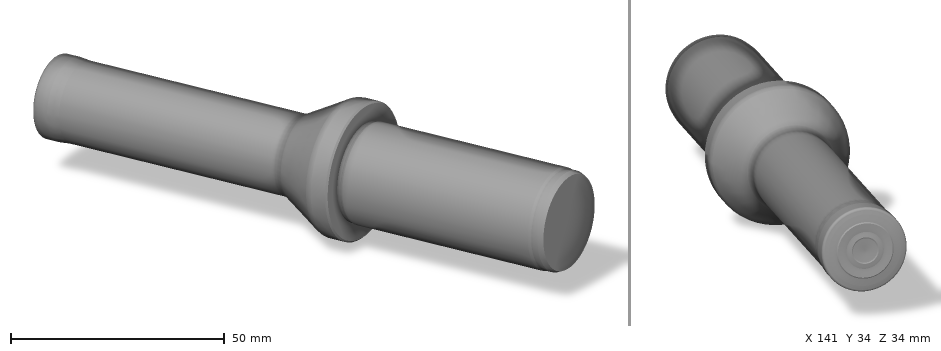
import cadquery as cq
import math

total_length = 141.0

head_length = 7.8
head_land_end = 4.7
head_diameter = 20.6
corner_radius = 0.7

center_depth = 0.4
inner_step_depth = 0.1
valley_depth = 0.21
outer_step_depth = 0.21
face_rim_depth = 0.4
inner_step_radius = 3.0
inner_ridge_radius = 3.2
valley_radius = 4.5
outer_ridge_radius = 6.6
outer_step_radius = 6.9
face_rim_radius = 8.7
face_corner_depth = 0.5

neck_diameter = 20.0
neck_end = 66.3
flare_start = 68.8
flare_start_diameter = 21.7
flare_end = 79.1
flare_end_diameter = 33.1
flange_start = 80.7
flange_end = 85.0
flange_diameter = 34.0
flange_chamfer = 0.4

shank_diameter = 25.0
relief_diameter = 24.5
relief_length = 0.8
lead_length = 0.7
shank_end = 137.2
tail_start = 138.0
tail_chamfer_length = 1.3
tail_chamfer_height = 0.5


def revolve_about_x(profile):
    """Turn a half profile, drawn as X against radius, into a solid of revolution."""
    return profile.close().revolve(360, (0, 0, 0), (1, 0, 0))


def make_cutting_head():
    """Head with a ridged face, a rounded corner and a slight back taper."""
    head_radius = head_diameter / 2
    arc_offset = corner_radius * (1 - math.sqrt(0.5))
    profile = (
        cq.Workplane("XY")
        .moveTo(center_depth, 0)
        .lineTo(inner_step_depth, inner_step_radius)
        .lineTo(0, inner_ridge_radius)
        .lineTo(valley_depth, valley_radius)
        .lineTo(0, outer_ridge_radius)
        .lineTo(outer_step_depth, outer_step_radius)
        .lineTo(face_rim_depth, face_rim_radius)
        .lineTo(face_corner_depth, head_radius - corner_radius)
        .threePointArc(
            (face_corner_depth + arc_offset, head_radius - arc_offset),
            (face_corner_depth + corner_radius, head_radius),
        )
        .lineTo(head_land_end, head_radius)
        .lineTo(head_length, neck_diameter / 2)
        .lineTo(head_length, 0)
    )
    return revolve_about_x(profile)


def make_holder():
    """Neck flaring into a flange, followed by the clamping shank."""
    neck_radius = neck_diameter / 2
    flange_radius = flange_diameter / 2
    shank_radius = shank_diameter / 2
    relief_radius = relief_diameter / 2
    relief_end = flange_end + relief_length
    profile = (
        cq.Workplane("XY")
        .moveTo(head_length, 0)
        .lineTo(head_length, neck_radius)
        .lineTo(neck_end, neck_radius)
        .tangentArcPoint((flare_start, flare_start_diameter / 2), relative=False)
        .lineTo(flare_end, flare_end_diameter / 2)
        .spline(
            [(flange_start, flange_radius)],
            tangents=[
                (flare_end - flare_start, (flare_end_diameter - flare_start_diameter) / 2),
                (1, 0),
            ],
            includeCurrent=True,
        )
        .lineTo(flange_end - flange_chamfer, flange_radius)
        .lineTo(flange_end, flange_radius - flange_chamfer)
        .lineTo(flange_end, relief_radius)
        .lineTo(relief_end, relief_radius)
        .lineTo(relief_end + lead_length, shank_radius)
        .lineTo(shank_end, shank_radius)
        .lineTo(tail_start, relief_radius)
        .lineTo(total_length - tail_chamfer_length, relief_radius)
        .lineTo(total_length, relief_radius - tail_chamfer_height)
        .lineTo(total_length, 0)
    )
    return revolve_about_x(profile)


cutting_head = make_cutting_head()
holder = make_holder()
result = cq.Compound.makeCompound([cutting_head.val(), holder.val()])